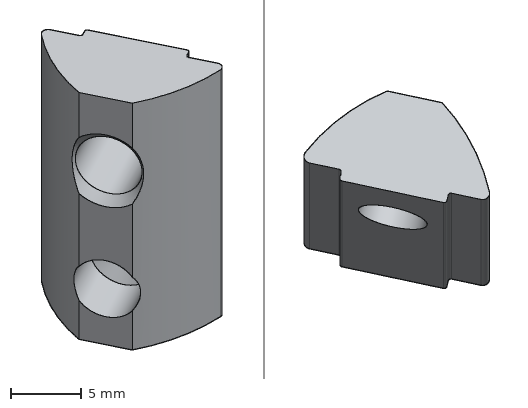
import cadquery as cq
import math

width = 13.5
depth = 7.2
length = 22.0

rib_width = 7.8
rib_height = 0.8
rib_fillet = 0.2
front_flat_width = 4.0
wing_radius = 0.5
flank_lean = math.radians(25.0)

hole_diameter = 5.0
hole_height = 15.5
countersink_diameter = 6.4
countersink_depth = (countersink_diameter - hole_diameter) / 2

pocket_diameter = 5.0
pocket_height = 5.0
pocket_straight_depth = 4.0
pocket_tip_diameter = 0.7
pocket_cone_angle = math.radians(118.0)


def make_half_profile():
    """Closed +X half of the cross-section, one edge on the symmetry plane."""
    wing_y = depth - rib_height
    wing_center_x = width / 2 - wing_radius
    wing_center_y = wing_y - wing_radius

    def wing_point(angle):
        return (
            wing_center_x + wing_radius * math.cos(angle),
            wing_center_y + wing_radius * math.sin(angle),
        )

    return (
        cq.Workplane("XY")
        .moveTo(0, depth)
        .lineTo(rib_width / 2 - rib_fillet, depth)
        .tangentArcPoint((rib_fillet, -rib_fillet))
        .lineTo(rib_width / 2, wing_y + rib_fillet)
        .tangentArcPoint((rib_fillet, -rib_fillet))
        .lineTo(wing_center_x, wing_y)
        .threePointArc(wing_point(0), wing_point(-flank_lean))
        .tangentArcPoint((front_flat_width / 2, 0), relative=False)
        .lineTo(0, 0)
        .close()
    )


def make_bar():
    half = make_half_profile().extrude(length)
    return half.union(half.mirror("YZ")).clean()


def turned_cutter(outline, height):
    """Revolve (radius, depth) points about an axis along Y at the given height."""
    return (
        cq.Workplane("XY")
        .polyline(outline)
        .close()
        .revolve(360, (0, 0), (0, 1))
        .translate((0, 0, height))
    )


def make_through_hole():
    hole_radius = hole_diameter / 2
    sink_radius = countersink_diameter / 2
    return turned_cutter(
        [(0, 0), (sink_radius, 0), (hole_radius, countersink_depth), (hole_radius, depth), (0, depth)],
        hole_height,
    )


def make_pocket():
    radius = pocket_diameter / 2
    tip_radius = pocket_tip_diameter / 2
    tip_depth = pocket_straight_depth + (radius - tip_radius) / math.tan(pocket_cone_angle / 2)
    return turned_cutter(
        [(0, 0), (radius, 0), (radius, pocket_straight_depth), (tip_radius, tip_depth), (0, tip_depth)],
        pocket_height,
    )


result = make_bar().cut(make_through_hole()).cut(make_pocket())